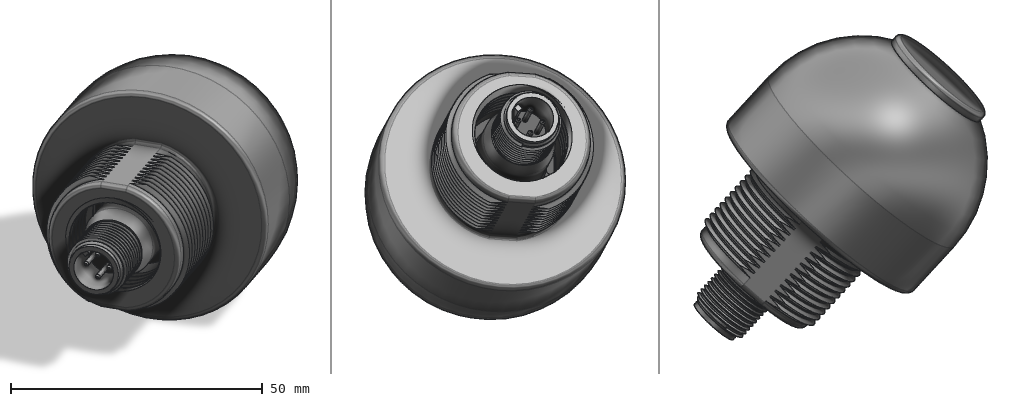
import cadquery as cq
import math


HEAD_DIAMETER = 50.0
HEAD_RADIUS = HEAD_DIAMETER / 2
HEAD_BASE_HEIGHT = 13.0
HEAD_TOP = 37.0
BUTTON_RADIUS = 11.8
BUTTON_FILLET = 0.8
EDGE_FILLET = 1.0

NECK_RADIUS = 14.0
NECK_CREST_RADIUS = 15.0
NECK_LENGTH = 20.0
NECK_ROOT_FILLET = 0.8
NECK_FLAT_DISTANCE = 13.75
NECK_THREAD_PITCH = 1.5
NECK_THREAD_START = 2.3
NECK_THREAD_TURNS = 10.5

THREAD_FLANK_ANGLE = 30

BORE_RADIUS = 9.5
BORE_DEPTH = 13.6
BORE_FLOOR = NECK_LENGTH - BORE_DEPTH
BORE_ROOT_RADIUS = 11.0
BORE_THREAD_PITCH = 1.85
BORE_GROOVE_WIDTH = 1.6
BORE_THREAD_TURNS = 6
SLOT_INNER = 7.55
SLOT_OUTER = 9.3
SLOT_HEIGHT = 4.75
SLOT_CORNER = 0.7
SLOT_DEPTH = 1.0

TOTAL_LENGTH = 68
PLUG_END = TOTAL_LENGTH - HEAD_TOP
PLUG_FOOT_RADIUS = 7.7
PLUG_COLLAR_RADIUS = 7.3
PLUG_TAPER_START = 17.0
PLUG_TAPER_END = 20.5
PLUG_TAPER_RADIUS = 6.3
PLUG_RADIUS = 5.7
PLUG_CREST_RADIUS = 6.25
PLUG_TIP_RADIUS = 5.25
PLUG_TIP_LENGTH = 1.0
PLUG_THREAD_START = 20.25
PLUG_THREAD_LENGTH = 9.25
PLUG_THREAD_TURNS = 9.2
PLUG_THREAD_PITCH = PLUG_THREAD_LENGTH / PLUG_THREAD_TURNS

SOCKET_RADIUS = 4.2
SOCKET_DEPTH = 8.15
KEY_WIDTH = 1.15
KEY_INNER_RADIUS = 3.0
KEY_RECESS = 2.05
PIN_RADIUS = 0.51
PIN_CHAMFER = 0.305
PIN_COUNT = 4
PIN_CIRCLE_RADIUS = 2.45
PIN_RECESS = 2.05

TOP_ANGLE = 90
KEY_ANGLE = 135
LEFT_ANGLE = 180

OVERLAP = 0.15


def toward_tip(body):
    """Turn a body built along +Z so that it runs toward -Y (local Y becomes Z)."""
    return body.rotate((0, 0, 0), (1, 0, 0), 90)


def thread(base_radius, crest_radius, base_width, start, start_angle, pitch, turns):
    """Right-handed helical V ridge; start is the distance of its first crest from Y = 0."""
    half = base_width / 2
    helix = cq.Wire.makeHelix(pitch, pitch * turns, base_radius)
    profile = cq.Workplane("XZ").polyline(
        [(base_radius, -half), (crest_radius, 0), (base_radius, half)]
    ).close()
    ridge = profile.sweep(cq.Workplane(helix), isFrenet=True)
    return toward_tip(ridge.rotate((0, 0, 0), (0, 0, 1), start_angle).translate((0, 0, start)))


def external_ridge(root_radius, crest_radius, start, start_angle, pitch, turns):
    """External thread ridge, sunk slightly into its core."""
    base_radius = root_radius - OVERLAP
    base_width = 2 * (crest_radius - base_radius) * math.tan(math.radians(THREAD_FLANK_ANGLE))
    return thread(base_radius, crest_radius, base_width, start, start_angle, pitch, turns)


def tip_cylinder(radius, start, end):
    """Cylinder on the axis between two distances from Y = 0 toward the tip."""
    return toward_tip(cq.Workplane("XY").workplane(offset=start).circle(radius).extrude(end - start))


def head():
    """Base, spherical dome and button; the dome is centred at the top of the base."""
    dome_rise = math.sqrt(HEAD_RADIUS**2 - BUTTON_RADIUS**2)
    dome_edge = HEAD_BASE_HEIGHT + dome_rise
    mid = HEAD_RADIUS * math.cos(math.radians(45))
    body = (
        cq.Workplane("XY")
        .lineTo(HEAD_RADIUS, 0)
        .lineTo(HEAD_RADIUS, HEAD_BASE_HEIGHT)
        .threePointArc((mid, HEAD_BASE_HEIGHT + mid), (BUTTON_RADIUS, dome_edge))
        .lineTo(BUTTON_RADIUS, HEAD_TOP)
        .lineTo(0, HEAD_TOP)
        .close()
        .revolve(360, (0, 0, 0), (0, 1, 0))
    )
    return body.faces(">Y").edges().fillet(BUTTON_FILLET).faces("<Y").edges().fillet(EDGE_FILLET)


def between_flats():
    """Slab that trims the neck to its two flats."""
    span = 4 * NECK_RADIUS
    return cq.Workplane("XY").box(span, span, 2 * NECK_FLAT_DISTANCE)


def head_with_neck():
    """Head and plain neck, rounded where the neck meets the head and at its end."""
    core = tip_cylinder(NECK_RADIUS, -OVERLAP, NECK_LENGTH).intersect(between_flats())
    core = core.faces("<Y").edges().fillet(EDGE_FILLET)
    reach = NECK_RADIUS + OVERLAP
    root_edges = cq.selectors.BoxSelector(
        (-reach, -OVERLAP, -reach), (reach, OVERLAP, reach), boundingbox=True
    )
    return head().union(core).edges(root_edges).fillet(NECK_ROOT_FILLET)


def neck_thread():
    """Thread running from one flat to the other, cut away over both flats."""
    ridge = external_ridge(
        NECK_RADIUS,
        NECK_CREST_RADIUS,
        NECK_THREAD_START,
        TOP_ANGLE,
        NECK_THREAD_PITCH,
        NECK_THREAD_TURNS,
    )
    return ridge.intersect(between_flats())


def neck_bore():
    """Bore around the plug, with a slot sunk in its floor on each side."""
    bore = tip_cylinder(BORE_RADIUS, BORE_FLOOR, NECK_LENGTH)
    slots = toward_tip(
        cq.Workplane("XY")
        .workplane(offset=BORE_FLOOR - SLOT_DEPTH)
        .pushPoints([(side * (SLOT_INNER + SLOT_OUTER) / 2, 0) for side in (-1, 1)])
        .rect(SLOT_OUTER - SLOT_INNER, SLOT_HEIGHT)
        .extrude(SLOT_DEPTH + OVERLAP)
        .edges("|Z")
        .fillet(SLOT_CORNER)
    )
    return bore.union(slots)


def bore_thread_groove():
    """Internal thread groove, at its deepest at the top of the bore mouth; its last turn runs out."""
    return thread(
        BORE_RADIUS - OVERLAP,
        BORE_ROOT_RADIUS,
        BORE_GROOVE_WIDTH,
        NECK_LENGTH - BORE_THREAD_PITCH * (BORE_THREAD_TURNS - 1),
        TOP_ANGLE,
        BORE_THREAD_PITCH,
        BORE_THREAD_TURNS,
    )


def plug():
    """Threaded plug with a tapered collar, a narrow tip and an open socket."""
    foot_step = PLUG_FOOT_RADIUS - PLUG_COLLAR_RADIUS
    tip_step = PLUG_RADIUS - PLUG_TIP_RADIUS
    tip_start = PLUG_END - PLUG_TIP_LENGTH
    body = (
        cq.Workplane("XY")
        .moveTo(0, OVERLAP - BORE_FLOOR)
        .lineTo(PLUG_FOOT_RADIUS, OVERLAP - BORE_FLOOR)
        .lineTo(PLUG_FOOT_RADIUS, -BORE_FLOOR)
        .lineTo(PLUG_COLLAR_RADIUS, -BORE_FLOOR - foot_step)
        .lineTo(PLUG_COLLAR_RADIUS, -PLUG_TAPER_START)
        .lineTo(PLUG_TAPER_RADIUS, -PLUG_TAPER_END)
        .lineTo(PLUG_RADIUS, -PLUG_TAPER_END)
        .lineTo(PLUG_RADIUS, tip_step - tip_start)
        .lineTo(PLUG_TIP_RADIUS, -tip_start)
        .lineTo(PLUG_TIP_RADIUS, -PLUG_END)
        .lineTo(0, -PLUG_END)
        .close()
        .revolve(360, (0, 0, 0), (0, 1, 0))
    )
    ridge = external_ridge(
        PLUG_RADIUS,
        PLUG_CREST_RADIUS,
        PLUG_THREAD_START,
        LEFT_ANGLE,
        PLUG_THREAD_PITCH,
        PLUG_THREAD_TURNS,
    )
    socket = tip_cylinder(SOCKET_RADIUS, PLUG_END - SOCKET_DEPTH, PLUG_END)
    return body.union(ridge).cut(socket).union(socket_key()).union(pins())


def socket_key():
    """Rib on the socket wall, at the upper left."""
    length = SOCKET_RADIUS + OVERLAP - KEY_INNER_RADIUS
    bar = (
        cq.Workplane("XY")
        .workplane(offset=PLUG_END - SOCKET_DEPTH - OVERLAP)
        .center(KEY_INNER_RADIUS + length / 2, 0)
        .rect(length, KEY_WIDTH)
        .extrude(SOCKET_DEPTH + OVERLAP - KEY_RECESS)
    )
    return toward_tip(bar.rotate((0, 0, 0), (0, 0, 1), KEY_ANGLE))


def pins():
    """Contact pins rising from the socket floor, ending below its rim."""
    return toward_tip(
        cq.Workplane("XY")
        .workplane(offset=PLUG_END - SOCKET_DEPTH - OVERLAP)
        .polarArray(PIN_CIRCLE_RADIUS, 0, 360, PIN_COUNT)
        .circle(PIN_RADIUS)
        .extrude(SOCKET_DEPTH + OVERLAP - PIN_RECESS)
        .faces(">Z")
        .edges()
        .chamfer(PIN_CHAMFER)
    )


result = head_with_neck().union(neck_thread())
result = result.cut(neck_bore()).cut(bore_thread_groove()).union(plug())